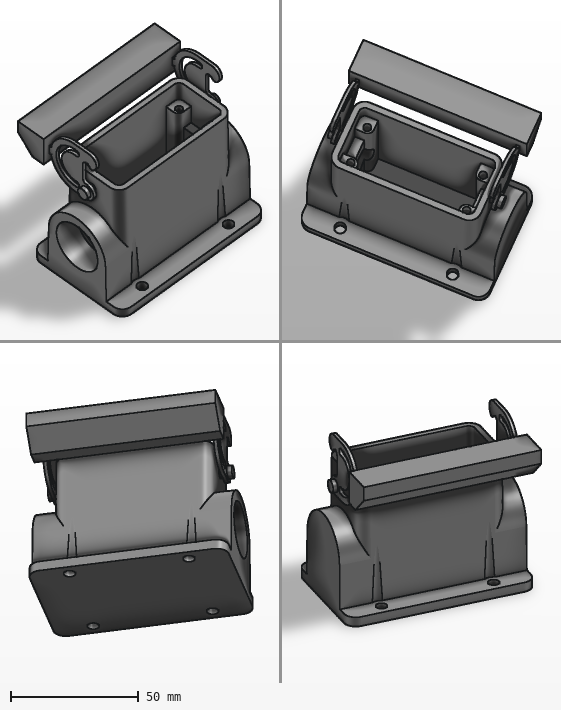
import cadquery as cq
import math

plate_width = 50.0
plate_length = 80.0
plate_height = 4.2
plate_corner_radius = 5.0
screw_x = 20.0
screw_y = 24.0
screw_hole_radius = 2.3
screw_head_radius = 4.5

housing_top = 57.1
housing_foot_half_width = 16.1
housing_top_half_width = 14.9
housing_length = 63.4
housing_corner_radius = 5.1
wall_lean = math.atan2(housing_foot_half_width - housing_top_half_width, housing_top - plate_height)

entry_height = 23.1
dome_radius = (
    housing_foot_half_width * math.cos(wall_lean)
    - (entry_height - plate_height) * math.sin(wall_lean)
)
entry_bore_radius = 8.3
entry_counterbore_radius = 11.4
entry_counterbore_depth = 11.7

cavity_width = 24.6
cavity_length = 58.1
cavity_corner_radius = 2.6
cavity_floor = plate_height
post_top = 47.8
post_inner_x = 5.6
post_inner_y = 21.9
post_corner_radius = 2.7
post_hole_x = 8.0
post_hole_y = 24.7
post_hole_radius = 1.6
post_hole_depth = 10.0
ledge_inner_y = 25.0
ledge_top = entry_height + dome_radius

lever_inner_y = 33.4
lever_thickness = 1.5
lever_arc_x = -6.5
lever_arc_z = 59.0
lever_arc_radius = 13.0
lever_eye_radius = 4.1
slot_outer_radius = 10.0
slot_inner_radius = 7.0
slot_end_x = -5.4
relief_radius = 1.8
hook_x = 1.5
hook_radius = 4.1
hook_tip_radius = 1.8
hook_tip_angle = math.radians(-50)
pivot_z = lever_arc_z - lever_arc_radius + lever_eye_radius

pin_radius = 2.0
pin_head_radius = 2.6
pin_end_y = 37.0

overall_width = 59.5
bar_left = plate_width / 2 - overall_width
bar_right = -20.4
bar_bottom = 52.9
bar_top = 67.0
bar_chamfer = 8.1
bar_length = 76.0
tab_height = 4.0


def extrude_along_y(sketch, y_start, y_end):
    """Extrude an X-Z outline between two Y positions (the XZ plane faces -Y)."""
    return sketch.extrude(-(y_end - y_start)).translate((0, y_start, 0))


def polar(center, radius, angle):
    """Point on a circle at an angle measured from its first axis."""
    return (center[0] + radius * math.cos(angle), center[1] + radius * math.sin(angle))


def box_between(x_range, y_range, z_range):
    size = [high - low for low, high in (x_range, y_range, z_range)]
    corner = (x_range[0], y_range[0], z_range[0])
    return cq.Workplane("XY").box(*size, centered=False).translate(corner)


def make_base_plate():
    plate = cq.Workplane("XY").rect(plate_width, plate_length).extrude(plate_height)
    return plate.edges("|Z").fillet(plate_corner_radius)


def make_housing():
    outline = cq.Workplane("XZ").polyline([
        (-housing_foot_half_width, plate_height),
        (housing_foot_half_width, plate_height),
        (housing_top_half_width, housing_top),
        (-housing_top_half_width, housing_top),
    ]).close()
    housing = extrude_along_y(outline, -housing_length / 2, housing_length / 2)
    corner_edges = housing.faces("<Y or >Y").edges("not(|X)")
    return corner_edges.fillet(housing_corner_radius)


def make_entry_domes():
    center = (0, entry_height)
    outline = (
        cq.Workplane("XZ")
        .moveTo(-housing_foot_half_width, plate_height)
        .lineTo(housing_foot_half_width, plate_height)
        .lineTo(*polar(center, dome_radius, wall_lean))
        .threePointArc((0, entry_height + dome_radius), polar(center, dome_radius, math.pi - wall_lean))
        .close()
    )
    return extrude_along_y(outline, -plate_length / 2, plate_length / 2)


def make_cavity():
    """Space inside the housing, leaving the corner posts and end ledges standing."""
    cavity = (
        cq.Workplane("XY", origin=(0, 0, cavity_floor))
        .rect(cavity_width, cavity_length)
        .extrude(housing_top - cavity_floor)
        .edges("|Z")
        .fillet(cavity_corner_radius)
    )
    for side_y in (-1, 1):
        ledge_y = sorted((side_y * ledge_inner_y, side_y * cavity_length / 2))
        ledge_x = (-post_inner_x, post_inner_x)
        cavity = cavity.cut(box_between(ledge_x, ledge_y, (cavity_floor, ledge_top)))
        for side_x in (-1, 1):
            post_x = sorted((side_x * post_inner_x, side_x * cavity_width / 2))
            post_y = sorted((side_y * post_inner_y, side_y * cavity_length / 2))
            post = box_between(post_x, post_y, (cavity_floor, post_top))
            inner_edge = cq.selectors.NearestToPointSelector(
                (side_x * post_inner_x, side_y * post_inner_y, (cavity_floor + post_top) / 2)
            )
            cavity = cavity.cut(post.edges(inner_edge).fillet(post_corner_radius))
    return cavity


def make_vertical_cylinders(x, y, radius, bottom, top):
    """Four upright cylinders placed symmetrically about both axes."""
    return (
        cq.Workplane("XY", origin=(0, 0, bottom))
        .rect(2 * x, 2 * y, forConstruction=True)
        .vertices()
        .circle(radius)
        .extrude(top - bottom)
    )


def make_entry_bore():
    """Stepped opening from the -Y end into the cavity."""
    end_y = -plate_length / 2
    center = cq.Workplane("XZ").center(0, entry_height)
    bore = extrude_along_y(center.circle(entry_bore_radius), end_y, 0)
    counterbore = extrude_along_y(
        center.circle(entry_counterbore_radius), end_y, end_y + entry_counterbore_depth
    )
    return bore.union(counterbore)


def draw_lever_outline():
    arc_top = lever_arc_z + lever_arc_radius
    arc_bottom = lever_arc_z - lever_arc_radius
    hook_center = (hook_x, arc_top - hook_radius)
    tip_center = polar(hook_center, hook_radius - hook_tip_radius, hook_tip_angle)
    throat_drop = math.sqrt((relief_radius + hook_tip_radius) ** 2 - tip_center[0] ** 2)
    throat_center = (0, tip_center[1] - throat_drop)
    throat_angle = math.atan2(throat_drop, tip_center[0])
    tip_mid_angle = (hook_tip_angle + throat_angle - math.pi) / 2
    throat_mid_angle = (throat_angle + math.pi) / 2
    hook_mid_angle = (math.pi / 2 + hook_tip_angle) / 2
    eye_top = pivot_z + lever_eye_radius
    neck_center = (0, eye_top + relief_radius)
    neck_mid_angle = math.radians(225)
    return (
        cq.Workplane("XZ")
        .moveTo(0, arc_bottom)
        .lineTo(lever_arc_x, arc_bottom)
        .threePointArc((lever_arc_x - lever_arc_radius, lever_arc_z), (lever_arc_x, arc_top))
        .lineTo(hook_x, arc_top)
        .threePointArc(
            polar(hook_center, hook_radius, hook_mid_angle),
            polar(hook_center, hook_radius, hook_tip_angle),
        )
        .threePointArc(
            polar(tip_center, hook_tip_radius, tip_mid_angle),
            polar(throat_center, relief_radius, throat_angle),
        )
        .threePointArc(
            polar(throat_center, relief_radius, throat_mid_angle),
            (-relief_radius, throat_center[1]),
        )
        .lineTo(-relief_radius, neck_center[1])
        .threePointArc(polar(neck_center, relief_radius, neck_mid_angle), (0, eye_top))
        .threePointArc((lever_eye_radius, pivot_z), (0, arc_bottom))
        .close()
    )


def draw_lever_slot():
    end_radius = (slot_outer_radius - slot_inner_radius) / 2
    middle_radius = (slot_outer_radius + slot_inner_radius) / 2
    return (
        cq.Workplane("XZ")
        .moveTo(slot_end_x, lever_arc_z + slot_outer_radius)
        .lineTo(lever_arc_x, lever_arc_z + slot_outer_radius)
        .threePointArc(
            (lever_arc_x - slot_outer_radius, lever_arc_z),
            (lever_arc_x, lever_arc_z - slot_outer_radius),
        )
        .lineTo(slot_end_x, lever_arc_z - slot_outer_radius)
        .threePointArc(
            (slot_end_x + end_radius, lever_arc_z - middle_radius),
            (slot_end_x, lever_arc_z - slot_inner_radius),
        )
        .lineTo(lever_arc_x, lever_arc_z - slot_inner_radius)
        .threePointArc(
            (lever_arc_x - slot_inner_radius, lever_arc_z),
            (lever_arc_x, lever_arc_z + slot_inner_radius),
        )
        .lineTo(slot_end_x, lever_arc_z + slot_inner_radius)
        .threePointArc(
            (slot_end_x + end_radius, lever_arc_z + middle_radius),
            (slot_end_x, lever_arc_z + slot_outer_radius),
        )
        .close()
    )


def make_lever_side():
    """Side plate at the +Y end with its tab to the bar and its headed pivot pin."""
    outer_y = lever_inner_y + lever_thickness
    plate = extrude_along_y(draw_lever_outline(), lever_inner_y, outer_y)
    tab = box_between(
        (bar_right, lever_arc_x - slot_outer_radius),
        (lever_inner_y, outer_y),
        (lever_arc_z - tab_height / 2, lever_arc_z + tab_height / 2),
    )
    slot = extrude_along_y(draw_lever_slot(), lever_inner_y, outer_y)
    pivot = cq.Workplane("XZ").center(0, pivot_z)
    pin = extrude_along_y(pivot.circle(pin_radius), cavity_length / 2, outer_y)
    head = extrude_along_y(pivot.circle(pin_head_radius), outer_y, pin_end_y)
    return plate.union(tab).cut(slot).union(pin).union(head)


def make_handle_bar():
    outline = cq.Workplane("XZ").polyline([
        (bar_left, bar_top),
        (bar_right, bar_top),
        (bar_right, bar_bottom),
        (bar_left + bar_chamfer, bar_bottom),
        (bar_left, bar_bottom + bar_chamfer),
    ]).close()
    return extrude_along_y(outline, -bar_length / 2, bar_length / 2)


screw_holes = make_vertical_cylinders(screw_x, screw_y, screw_hole_radius, 0, plate_height)
screw_head_reliefs = make_vertical_cylinders(
    screw_x, screw_y, screw_head_radius, plate_height, housing_top
)
post_holes = make_vertical_cylinders(
    post_hole_x, post_hole_y, post_hole_radius, post_top - post_hole_depth, post_top
)
lever_side = make_lever_side()

body = make_base_plate().union(make_housing()).union(make_entry_domes())
body = body.cut(screw_holes).cut(screw_head_reliefs)
body = body.cut(make_cavity()).cut(post_holes).cut(make_entry_bore())

result = body.union(lever_side).union(lever_side.mirror("XZ")).union(make_handle_bar())